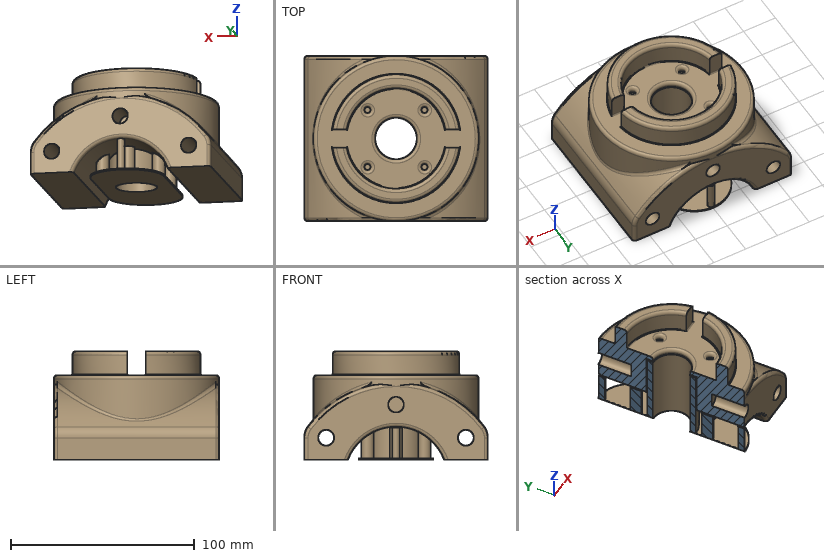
import cadquery as cq
import math

WIDTH = 100.0
LENGTH = 90.0
CROWN_RADIUS = 60.0
CROWN_CENTER_Z = -18.0
SHOULDER_RADIUS = 10.0
ARCH_RADIUS = 28.0
ARCH_CENTER_Z = -10.0
EDGE_RADIUS = 2.0
BLANK_LENGTH = 120.0

BOSS_DIAMETER = 90.0
BOSS_TOP = 46.1
BOSS_BOTTOM = 20.5
RING_HEIGHT = 13.0
RING_OUTER_DIAMETER = 69.8
RING_INNER_DIAMETER = 54.6
RING_FOOT_RADIUS = 0.4
SLOT_WIDTH = 10.0

BORE_DIAMETER = 22.5
SCREW_DIAMETER = 3.3
SCREW_SPACING = 31.0
RECESS_DIAMETER = 31.0
LIP_THICKNESS = 3.2
CLAMP_DIAMETER = 8.5
CLAMP_X = 38.0
CLAMP_Z = 12.0
SOCKET_Z = 30.0
SOCKET_DEPTH = 20.0

PLATE_WIDTH = 40.5
PLATE_THICKNESS = 0.8
SLEEVE_DIAMETER = 30.0
POST_DIAMETER = 7.0
PEG_DIAMETER = 4.0
PEG_EDGE_MARGIN = 0.2
TOP_CLEARANCE = 0.5

HALF_WIDTH = WIDTH / 2
HALF_LENGTH = LENGTH / 2
HALF_SCREW = SCREW_SPACING / 2
LIP_BOTTOM = BOSS_TOP - LIP_THICKNESS
SUPPORT_TOP = LIP_BOTTOM - TOP_CLEARANCE
SCREW_POINTS = [(x, y) for x in (-HALF_SCREW, HALF_SCREW) for y in (-HALF_SCREW, HALF_SCREW)]
SCREW_CIRCLE_RADIUS = math.hypot(HALF_SCREW, HALF_SCREW)
PEG_Y = HALF_LENGTH - PEG_DIAMETER / 2 - PEG_EDGE_MARGIN
CROWN_TOP = CROWN_CENTER_Z + CROWN_RADIUS
TOLERANCE = 0.01
ARCH_TOP = ARCH_CENTER_Z + ARCH_RADIUS
ARCH_HALF_SPAN = math.sqrt(ARCH_RADIUS**2 - ARCH_CENTER_Z**2)


def vertical_cylinder(diameter, bottom, top, x=0, y=0):
    return cq.Workplane("XY", origin=(x, y, bottom)).circle(diameter / 2).extrude(top - bottom)


def end_cylinder(diameter, x, z, start_y, depth):
    """Cylinder along +Y from start_y."""
    return (cq.Workplane("XZ", origin=(x, start_y, z))
            .circle(diameter / 2).extrude(-depth))


def arch_cylinder(radius):
    """Cylinder along Y on the axis of the tunnel."""
    return (cq.Workplane("XZ", origin=(0, 0, ARCH_CENTER_Z))
            .circle(radius).extrude(LENGTH, both=True))


def saddle(length):
    """Arched block along Y, with a crown arc and shoulder arcs tangent to the sides."""
    shoulder_x = HALF_WIDTH - SHOULDER_RADIUS
    reach = CROWN_RADIUS - SHOULDER_RADIUS
    shoulder_z = CROWN_CENTER_Z + math.sqrt(reach**2 - shoulder_x**2)
    tangent_angle = math.asin(shoulder_x / reach)
    middle_angle = (tangent_angle + math.pi / 2) / 2
    tangent_x = shoulder_x + SHOULDER_RADIUS * math.sin(tangent_angle)
    tangent_z = shoulder_z + SHOULDER_RADIUS * math.cos(tangent_angle)
    middle_x = shoulder_x + SHOULDER_RADIUS * math.sin(middle_angle)
    middle_z = shoulder_z + SHOULDER_RADIUS * math.cos(middle_angle)
    return (cq.Workplane("XZ", origin=(0, length / 2, 0))
            .moveTo(-HALF_WIDTH, 0)
            .lineTo(-HALF_WIDTH, shoulder_z)
            .threePointArc((-middle_x, middle_z), (-tangent_x, tangent_z))
            .threePointArc((0, CROWN_TOP), (tangent_x, tangent_z))
            .threePointArc((middle_x, middle_z), (HALF_WIDTH, shoulder_z))
            .lineTo(HALF_WIDTH, 0)
            .lineTo(ARCH_HALF_SPAN, 0)
            .threePointArc((0, ARCH_TOP), (-ARCH_HALF_SPAN, 0))
            .close().extrude(length))


def blended_block():
    """Saddle with rounded ends, carrying a round boss with a filleted joint."""
    boss = vertical_cylinder(BOSS_DIAMETER, BOSS_BOTTOM, BOSS_TOP)
    boss = boss.faces(">Z").edges().fillet(EDGE_RADIUS)
    blank = saddle(BLANK_LENGTH)
    sharp = blank.union(boss)
    joint = [edge for edge in sharp.edges().vals() if edge.geomType() == "BSPLINE"]
    filleted = sharp.newObject(joint).fillet(EDGE_RADIUS)
    joint_span = cq.Workplane().box(WIDTH, LENGTH - 2 * EDGE_RADIUS, BLANK_LENGTH)
    middle = filleted.intersect(joint_span)
    ends = saddle(LENGTH).faces("<Y or >Y").edges("not(<Z)").fillet(EDGE_RADIUS)
    return ends.union(boss).union(middle)


def split_ring():
    """Ring with rounded rims, split by a slot along X, on a filleted foot."""
    ring = (cq.Workplane("XY", origin=(0, 0, BOSS_TOP))
            .circle(RING_OUTER_DIAMETER / 2).circle(RING_INNER_DIAMETER / 2)
            .extrude(RING_HEIGHT)
            .faces(">Z").edges().fillet(EDGE_RADIUS))
    slot = (cq.Workplane("XY", origin=(0, 0, BOSS_TOP))
            .rect(WIDTH, SLOT_WIDTH).extrude(RING_HEIGHT))
    return ring.cut(slot)


def boss_top_edges(part):
    """Edges that lie in the flat top of the boss."""
    edges = []
    for edge in part.edges().vals():
        box = edge.BoundingBox()
        if box.zmin > BOSS_TOP - TOLERANCE and box.zmax < BOSS_TOP + TOLERANCE:
            edges.append(edge)
    return edges


def make_housing():
    housing = blended_block().union(split_ring())
    foot = [edge for edge in boss_top_edges(housing)
            if edge.geomType() == "LINE" or edge.radius() < RING_OUTER_DIAMETER / 2 + TOLERANCE]
    housing = housing.newObject(foot).fillet(RING_FOOT_RADIUS)
    housing = housing.cut(vertical_cylinder(BORE_DIAMETER, 0, BOSS_TOP))
    for x, y in SCREW_POINTS:
        housing = housing.cut(vertical_cylinder(SCREW_DIAMETER, 0, BOSS_TOP, x, y))
    mouths = [edge for edge in boss_top_edges(housing)
              if edge.geomType() == "CIRCLE" and edge.radius() < BORE_DIAMETER / 2 + TOLERANCE]
    housing = housing.newObject(mouths).fillet(EDGE_RADIUS)
    housing = housing.cut(vertical_cylinder(RECESS_DIAMETER, 0, LIP_BOTTOM))
    for x, y in SCREW_POINTS:
        housing = housing.cut(vertical_cylinder(POST_DIAMETER, 0, LIP_BOTTOM, x, y))
    for x in (-CLAMP_X, CLAMP_X):
        housing = housing.cut(end_cylinder(CLAMP_DIAMETER, x, CLAMP_Z, -HALF_LENGTH, LENGTH))
    for start_y in (-HALF_LENGTH, HALF_LENGTH - SOCKET_DEPTH):
        housing = housing.cut(end_cylinder(CLAMP_DIAMETER, 0, SOCKET_Z, start_y, SOCKET_DEPTH))
    return housing


def make_support():
    """Plate with a sleeve and posts that enter the recesses, and props that end under the arch."""
    props = vertical_cylinder(POST_DIAMETER, 0, ARCH_TOP, 0, -SCREW_CIRCLE_RADIUS)
    props = props.union(vertical_cylinder(POST_DIAMETER, 0, ARCH_TOP, 0, SCREW_CIRCLE_RADIUS))
    for y in (-PEG_Y, PEG_Y):
        props = props.union(vertical_cylinder(PEG_DIAMETER, 0, ARCH_TOP, 0, y))
    props = props.intersect(arch_cylinder(ARCH_RADIUS - TOP_CLEARANCE))

    support = cq.Workplane("XY").slot2D(LENGTH, PLATE_WIDTH, 90).extrude(PLATE_THICKNESS)
    support = support.union(props)
    support = support.union(vertical_cylinder(SLEEVE_DIAMETER, 0, SUPPORT_TOP))
    for x, y in SCREW_POINTS:
        support = support.union(vertical_cylinder(POST_DIAMETER, 0, SUPPORT_TOP, x, y))
    return support.cut(vertical_cylinder(BORE_DIAMETER, 0, SUPPORT_TOP))


housing = make_housing()
support = make_support()
result = cq.Compound.makeCompound([housing.val(), support.val()])